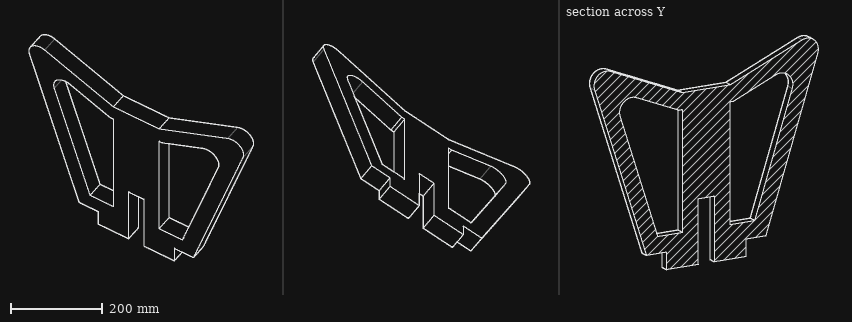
import cadquery as cq
import math

thickness = 40.0
frame_width = 40.0

foot_half_width = 100.0
foot_height = 40.0
shoulder_half_width = 150.0
slot_width = 40.0
slot_height = 150.0

column_half_width = 60.0
flat_top_half_width = 60.0
flat_top_height = 400.0

overall_width = 563.22
overall_height = 478.09
tip_radius = 30.0
tip_x = overall_width / 2 - tip_radius
tip_z = overall_height - tip_radius


def tangent_angle(x, z, side):
    """Direction of the line from (x, z) that touches the wing tip circle on the given side."""
    dx = tip_x - x
    dz = tip_z - z
    return math.atan2(dz, dx) + side * math.asin(tip_radius / math.hypot(dx, dz))


side_angle = tangent_angle(shoulder_half_width, foot_height, -1)
arm_angle = tangent_angle(flat_top_half_width, flat_top_height, 1)


def tip_point(angle, radius, center_x, center_z):
    """Point on a tip circle at the given polar angle."""
    return (center_x + radius * math.cos(angle), center_z + radius * math.sin(angle))


def side_x(z, inset):
    """X of the wing's outer side at height z, moved inward by inset."""
    return shoulder_half_width + (z - foot_height) / math.tan(side_angle) - inset / math.sin(side_angle)


def arm_x(z, inset):
    """X of the wing's upper edge at height z, moved downward by inset."""
    drop = inset / math.cos(arm_angle)
    return flat_top_half_width + (z - flat_top_height + drop) / math.tan(arm_angle)


def inset_tip_center(inset):
    """Centre of a tip_radius circle touching the side and upper edge, both moved inward by inset."""
    opening = side_angle - arm_angle
    shift = inset / math.sin(opening / 2)
    bisector = (side_angle + arm_angle) / 2
    return (tip_x - shift * math.cos(bisector), tip_z - shift * math.sin(bisector))


def tip_arc(center):
    """Start, middle and end of the rounded tip, from the side edge to the upper edge."""
    start_angle = side_angle - math.pi / 2
    end_angle = arm_angle + math.pi / 2
    angles = (start_angle, (start_angle + end_angle) / 2, end_angle)
    return [tip_point(angle, tip_radius, *center) for angle in angles]


def extrude_profile(profile):
    """Close a profile in the XZ plane and give it the plate thickness, centred on Y = 0."""
    return profile.close().extrude(thickness / 2, both=True)


def make_right_half():
    """Right half of the plate, without its window."""
    start, middle, end = tip_arc((tip_x, tip_z))
    profile = (
        cq.Workplane("XZ")
        .moveTo(0, slot_height)
        .lineTo(slot_width / 2, slot_height)
        .lineTo(slot_width / 2, 0)
        .lineTo(foot_half_width, 0)
        .lineTo(foot_half_width, foot_height)
        .lineTo(shoulder_half_width, foot_height)
        .lineTo(*start)
        .threePointArc(middle, end)
        .lineTo(flat_top_half_width, flat_top_height)
        .lineTo(0, flat_top_height)
    )
    return extrude_profile(profile)


def make_right_window():
    """Window in the right wing, leaving a frame of constant width around it."""
    bottom = foot_height + frame_width
    top = flat_top_height - frame_width
    start, middle, end = tip_arc(inset_tip_center(frame_width))
    profile = (
        cq.Workplane("XZ")
        .moveTo(column_half_width, bottom)
        .lineTo(side_x(bottom, frame_width), bottom)
        .lineTo(*start)
        .threePointArc(middle, end)
        .lineTo(arm_x(top, frame_width), top)
        .lineTo(column_half_width, top)
    )
    return extrude_profile(profile)


right_half = make_right_half().cut(make_right_window())
left_half = right_half.mirror("YZ")
result = right_half.union(left_half)